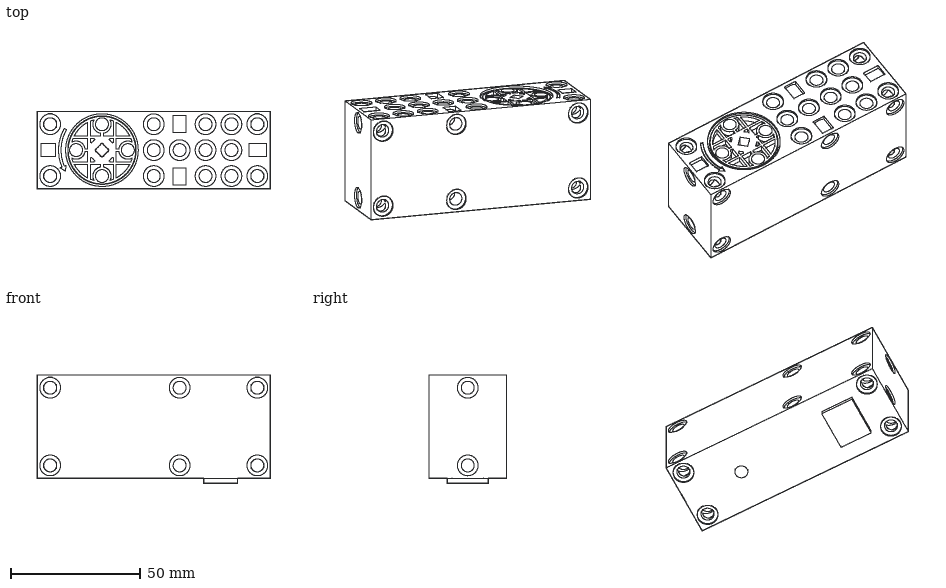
import cadquery as cq
import math

length = 90
pitch = length / 9
width = 3 * pitch
height = 4 * pitch
half_width = width / 2

bore_diameter = pitch / 2
counterbore_diameter = 0.8 * pitch
counterbore_depth = 0.8
bore_depth = 9

foot_start = 64.3
foot_length = 13.1
foot_width = 16.0
foot_height = 2.0

window_width = bore_diameter
window_inset = 1.5
window_end = 8.2
short_window_end = 7.1
sleeve_radius = counterbore_diameter / 2

table_x = 2.5 * pitch
recess_radius = 14.0
recess_depth = 0.8
table_drop = 0.495
table_radius = 13.05
gap_width = 0.2
gap_depth = 1.8
pocket_radius = 12.1
pocket_depth = 2.5
rib_thickness = pitch / 10
rib_offset = pitch / 2
hub_diameter = 7.0
core_half_width = rib_offset - rib_thickness / 2
core_flat_distance = 4.9
corner_pocket_width = 1.9
drive_square = 3.8
drive_depth = 18

arrow_radius = 16.3
arrow_line_width = 1.0
arrow_head_width = 2.4
arrow_depth = 0.5
arrow_tail_angle = 150
arrow_neck_angle = 203
arrow_tip_angle = 210


def cell(index):
    """Distance from the block's edge to the middle of a cell counted from zero."""
    return (index + 0.5) * pitch


def counterbored_hole(origin, inward):
    """Cutter for a counterbored blind hole starting at origin on a face."""
    start = cq.Vector(*origin)
    direction = cq.Vector(*inward)
    bore = cq.Solid.makeCylinder(bore_diameter / 2, bore_depth, start, direction)
    counterbore = cq.Solid.makeCylinder(counterbore_diameter / 2, counterbore_depth, start, direction)
    return cq.Workplane(obj=bore.fuse(counterbore))


def box(x_size, y_size, z_size, centre_x, centre_y, bottom):
    """Box centred in X and Y and standing on the given level."""
    block = cq.Workplane().box(x_size, y_size, z_size, centered=(True, True, False))
    return block.translate((centre_x, centre_y, bottom))


def disc(radius, depth, top):
    """Cylinder on the turntable axis reaching down from the given level."""
    return cq.Workplane(origin=(table_x, 0, top - depth)).circle(radius).extrude(depth)


def hole_positions():
    """Face points and inward directions of every counterbored hole."""
    rows = [-pitch, 0, pitch]
    top_cells = [(column, row) for column in (4, 6, 7) for row in rows]
    top_cells += [(5, 0)]
    top_cells += [(column, row) for column in (0, 8) for row in (-pitch, pitch)]
    positions = [((cell(column), row, height), (0, 0, -1)) for column, row in top_cells]
    for level in (cell(0), cell(3)):
        for column in (0, 5, 8):
            positions.append(((cell(column), -half_width, level), (0, 1, 0)))
            positions.append(((cell(column), half_width, level), (0, -1, 0)))
        positions.append(((0, 0, level), (1, 0, 0)))
        positions.append(((length, 0, level), (-1, 0, 0)))
    for column in (0, 8):
        for row in (-pitch, pitch):
            positions.append(((cell(column), row, 0), (0, 0, 1)))
    return positions


def window(edge, inward, end):
    """Cutter for a window near an edge point of the top, above the sleeve of a side hole."""
    start = cq.Vector(*edge) + cq.Vector(*inward) * window_inset
    run = end - window_inset
    middle = start + cq.Vector(*inward) * (run / 2)
    x_size = run if inward[0] else window_width
    y_size = run if inward[1] else window_width
    opening = box(x_size, y_size, pitch / 2, middle.x, middle.y, height - pitch / 2)
    axis_start = cq.Vector(start.x, start.y, cell(3))
    sleeve = cq.Solid.makeCylinder(sleeve_radius, run, axis_start, cq.Vector(*inward))
    return opening.cut(cq.Workplane(obj=sleeve))


def turntable_pockets(top):
    """Cutter for the pockets between the ribs, hubs and core of the turntable."""
    bottom = top - pocket_depth
    span = 2 * pocket_radius
    pockets = disc(pocket_radius, pocket_depth, top)
    for side in (-1, 1):
        offset = side * rib_offset
        pockets = pockets.cut(box(rib_thickness, span, pocket_depth, table_x + offset, 0, bottom))
        pockets = pockets.cut(box(span, rib_thickness, pocket_depth, table_x, offset, bottom))
    pockets = pockets.cut(box(span, rib_thickness, pocket_depth, table_x, 0, bottom))
    pockets = pockets.cut(box(rib_thickness, span, pocket_depth, table_x, 0, bottom))
    hubs = cq.Workplane(origin=(table_x, 0, bottom)).polarArray(pitch, 0, 360, 4)
    pockets = pockets.cut(hubs.circle(hub_diameter / 2).extrude(pocket_depth))
    core_size = 2 * core_half_width
    core = box(core_size, core_size, pocket_depth, table_x, 0, bottom)
    return pockets.cut(core).union(corner_pockets(core, bottom))


def corner_pockets(core, bottom):
    """Small pockets left in the four corners of the turntable core."""
    reach = 4 * core_half_width
    flats = cq.Workplane().rect(2 * core_flat_distance, 2 * core_flat_distance).extrude(pocket_depth)
    cross = cq.Workplane().rect(reach, corner_pocket_width).extrude(pocket_depth)
    cross = cross.union(cross.rotate((0, 0, 0), (0, 0, 1), 90))
    corners = cross.cut(flats).rotate((0, 0, 0), (0, 0, 1), 45)
    return corners.translate((table_x, 0, bottom)).intersect(core)


def cut_turntable(block):
    """Set a ribbed turntable into the top around the drive hole."""
    top = height - table_drop
    table_keep = disc(table_radius, recess_depth - table_drop, top)
    block = block.cut(disc(recess_radius, recess_depth, height).cut(table_keep))
    gap_ring = disc(table_radius + gap_width, gap_depth, height).cut(disc(table_radius, gap_depth, height))
    block = block.cut(gap_ring)
    block = block.cut(turntable_pockets(top))
    bores = cq.Workplane(origin=(table_x, 0, top)).polarArray(pitch, 0, 360, 4)
    block = block.cut(bores.circle(bore_diameter / 2).extrude(-bore_depth))
    drive = cq.Workplane().rect(drive_square, drive_square).extrude(-drive_depth)
    drive = drive.rotate((0, 0, 0), (0, 0, 1), 45).translate((table_x, 0, top))
    shaft_bore = disc(bore_diameter / 2, height, height - drive_depth)
    return block.cut(drive).cut(shaft_bore)


def arrow_point(radius, angle):
    """Point at a radius and angle around the turntable axis."""
    turn = math.radians(angle)
    return table_x + radius * math.cos(turn), radius * math.sin(turn)


def arrow():
    """Cutter for the curved rotation arrow."""
    inner = arrow_radius - arrow_line_width / 2
    outer = arrow_radius + arrow_line_width / 2
    middle_angle = (arrow_tail_angle + arrow_neck_angle) / 2
    outline = (
        cq.Workplane(origin=(0, 0, height))
        .moveTo(*arrow_point(outer, arrow_tail_angle))
        .threePointArc(arrow_point(outer, middle_angle), arrow_point(outer, arrow_neck_angle))
        .lineTo(*arrow_point(arrow_radius + arrow_head_width / 2, arrow_neck_angle))
        .lineTo(*arrow_point(arrow_radius, arrow_tip_angle))
        .lineTo(*arrow_point(arrow_radius - arrow_head_width / 2, arrow_neck_angle))
        .lineTo(*arrow_point(inner, arrow_neck_angle))
        .threePointArc(arrow_point(inner, middle_angle), arrow_point(inner, arrow_tail_angle))
        .close()
    )
    return outline.extrude(-arrow_depth)


block = box(length, width, height, length / 2, 0, 0)
foot = box(foot_length, foot_width, foot_height, foot_start + foot_length / 2, 0, -foot_height)
block = block.union(foot)

block = cut_turntable(block)
block = block.cut(arrow())

for origin, inward in hole_positions():
    block = block.cut(counterbored_hole(origin, inward))

block = block.cut(window((0, 0, height), (1, 0, 0), short_window_end))
block = block.cut(window((length, 0, height), (-1, 0, 0), window_end))
for side in (-1, 1):
    block = block.cut(window((cell(5), side * half_width, height), (0, -side, 0), window_end))

result = block